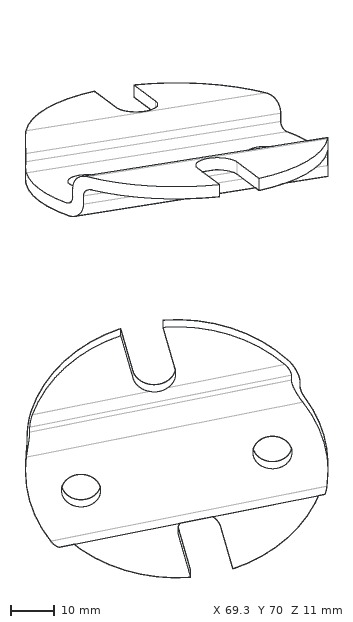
import cadquery as cq

disc_diameter = 70.0
height = 11.0
thickness = 3.0
channel_half_width = 16.0
outer_bend_radius = 4.0
inner_bend_radius = 1.95
slot_width = 10.0
slot_inner_end = 17.5
hole_diameter = 9.0
hole_offset = 22.75
match_tolerance = 0.01

disc_radius = disc_diameter / 2
wall_inside = channel_half_width - thickness
floor_top = -height + thickness
slot_length = disc_diameter


def bent_strip():
    """Hat-shaped strip along Y, with the flange top at Z = 0."""
    section = [
        (-disc_radius, 0),
        (-wall_inside, 0),
        (-wall_inside, floor_top),
        (wall_inside, floor_top),
        (wall_inside, 0),
        (disc_radius, 0),
        (disc_radius, -thickness),
        (channel_half_width, -thickness),
        (channel_half_width, -height),
        (-channel_half_width, -height),
        (-channel_half_width, -thickness),
        (-disc_radius, -thickness),
    ]
    strip = cq.Workplane("XZ").polyline(section).close().extrude(disc_radius, both=True)

    def bend_edges(x, z):
        """Pick the pair of bend edges at -x and x, height z."""
        edges = strip.edges("|Y")
        return edges.filter(
            lambda edge: abs(abs(edge.Center().x) - x) < match_tolerance
            and abs(edge.Center().z - z) < match_tolerance
        )

    bends = [
        (wall_inside, 0, outer_bend_radius),
        (channel_half_width, -height, outer_bend_radius),
        (wall_inside, floor_top, inner_bend_radius),
        (channel_half_width, -thickness, inner_bend_radius),
    ]
    for x, z, radius in bends:
        strip = bend_edges(x, z).fillet(radius)
    return strip


def through_cylinder(diameter):
    """Upright cylinder spanning the full height of the part."""
    return cq.Workplane("XY").circle(diameter / 2).extrude(-height)


def edge_slot(side):
    """Round-ended slot open to the rim; side is -1 or 1."""
    slot_center = side * (slot_inner_end + slot_length / 2)
    return cq.Workplane("XY").center(slot_center, 0).slot2D(slot_length, slot_width).extrude(-height)


result = bent_strip().intersect(through_cylinder(disc_diameter))
for side in (-1, 1):
    result = result.cut(edge_slot(side))
    result = result.cut(through_cylinder(hole_diameter).translate((0, side * hole_offset, 0)))